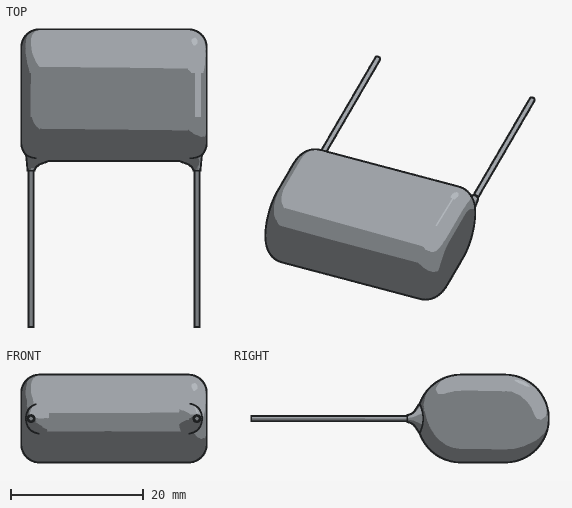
import cadquery as cq

total_depth = 44.9
housing_width = 28.0
housing_depth = 19.9
housing_height = 13.3
end_round = 2.85

lead_pitch = 25.0
lead_radius = 0.4
collar_length = 1.45

collar_sections = [(0, 0.55), (0.95, 1.0), (1.45, 1.7), (1.98, 2.45), (2.7, 3.25)]
collar_outer_slope = 0.1

housing_front = -housing_depth / 2
collar_end = housing_front - collar_length
lead_tip = housing_depth / 2 - total_depth
collar_end_radius = collar_sections[0][1]
sides = [-1, 1]


def make_collar(side):
    """Off-centre horn; its nearly straight edge faces the end of the housing."""
    sections = []
    for distance, radius in collar_sections:
        inward_shift = radius - collar_end_radius - collar_outer_slope * distance
        center = cq.Vector(side * (lead_pitch / 2 - inward_shift), collar_end + distance, 0)
        sections.append(cq.Wire.makeCircle(radius, center, cq.Vector(0, 1, 0)))
    return cq.Workplane(cq.Solid.makeLoft(sections))


def make_housing():
    """Stadium-section block with rounded ends and two flared collars."""
    housing = (
        cq.Workplane("YZ")
        .slot2D(housing_depth, housing_height)
        .extrude(housing_width / 2, both=True)
        .faces("<X or >X")
        .edges()
        .fillet(end_round)
    )
    for side in sides:
        housing = housing.union(make_collar(side))
    return housing


def make_lead(side):
    """Straight round wire from the end of a collar to the lead tip."""
    return (
        cq.Workplane("XZ", origin=(side * lead_pitch / 2, collar_end, 0))
        .circle(lead_radius)
        .extrude(collar_end - lead_tip)
    )


housing = make_housing()
leads = [make_lead(side) for side in sides]

result = cq.Compound.makeCompound([housing.val(), *[lead.val() for lead in leads]])